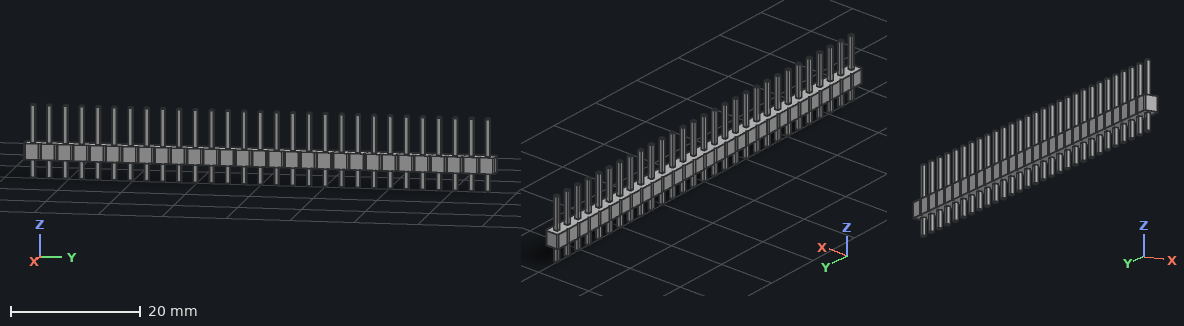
import cadquery as cq

pin_count = 29
row_length = 73.65
pitch = row_length / pin_count

housing_width = 2.5
housing_height = pitch
corner_chamfer = 0.25

pin_size = 0.64
pin_length = 11.6
pin_below_housing = 3.0
tip_chamfer = 0.16


def housing_cell(y):
    """One block of the housing; its cut vertical edges form V notches between cells."""
    return (
        cq.Workplane("XY")
        .center(0, y)
        .rect(housing_width, pitch)
        .extrude(housing_height)
        .edges("|Z")
        .chamfer(corner_chamfer)
    )


def pin(y):
    """Square pin running through the housing, chamfered at both ends."""
    return (
        cq.Workplane("XY", origin=(0, y, -pin_below_housing))
        .rect(pin_size, pin_size)
        .extrude(pin_length)
        .faces("<Z or >Z")
        .chamfer(tip_chamfer)
    )


first_y = -(row_length - pitch) / 2
result = cq.Workplane("XY")
for index in range(pin_count):
    pin_y = first_y + index * pitch
    result = result.union(housing_cell(pin_y)).union(pin(pin_y))